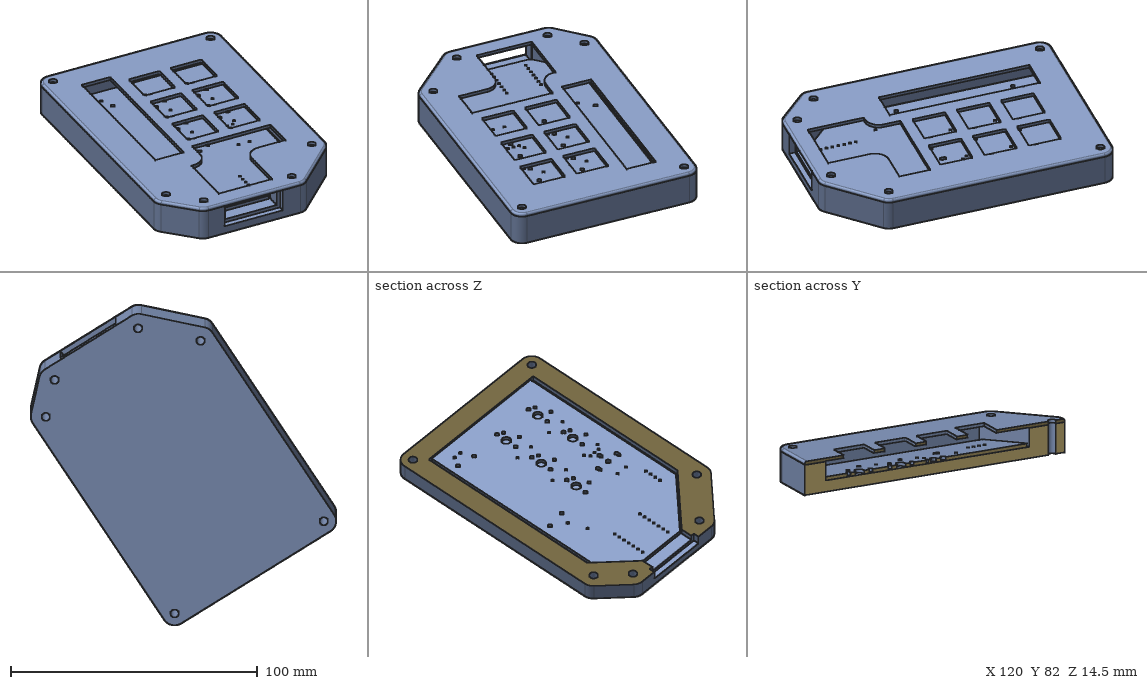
import cadquery as cq
length = 120.0
width = 82.0
height = 14.5
half_length = length / 2
half_width = width / 2

rear_bevel = 21.6
front_bevel = 14.4
corner_radius = 5.0

lid_thickness = 1.5
lid_edge_radius = 1.0
lid_bottom = height - lid_thickness

board_left = -50.2
board_right = 51.8
board_half_width = 29.9
board_rear_bevel = 22.5
board_front_bevel = 14.9
board_thickness = 1.5
board_top = 6.6
board_bottom = board_top - board_thickness

pocket_gap = 1.5
pocket_half_width = board_half_width + pocket_gap
pocket_rear_bevel = 23.2
pocket_front_bevel = 15.6
pocket_depth = lid_bottom - board_bottom

opening_margin = 0.4
opening_rear = pocket_half_width - pocket_rear_bevel - opening_margin
opening_front = -pocket_half_width + pocket_front_bevel + opening_margin
plug_recess_depth = 2.5
plug_recess_border = 1.5

screw_diameter = 3.4
left_screw_x = -(half_length - corner_radius)
left_screw_y = half_width - corner_radius
screw_points = [
    (left_screw_x, left_screw_y),
    (left_screw_x, -left_screw_y),
    (36.0, 35.0),
    (54.1, 16.5),
    (54.1, -23.6),
    (43.0, -35.0),
]

key_pitch = 19.1
key_columns = 3
key_rows = 2
key_window_size = 14.0
key_window_radius = 0.5
first_window_x = -35.0
first_window_y = 18.0
first_key_x = -34.5
first_key_y = 17.0
key_centre_diameter = 4.0
key_post_diameter = 1.7
key_pin_diameter = 1.5

diode_columns = 2
diode_offset_x = 9.8
diode_half_span = 4.1
diode_hole_diameter = 1.0

controller_pin_count = 7
controller_row_length = 15.2
pin_pitch = controller_row_length / (controller_pin_count - 1)
controller_pin_diameter = 0.89
controller_first_x = 33.2
controller_row_ys = [3.7, -11.5]
display_pin_count = 4
display_pin_diameter = 1.0
display_first_x = 19.0
display_row_y = 23.2

encoder_x = 4.0
encoder_y = 16.9
encoder_lug_offset = 5.6
encoder_lug_length = 2.8
encoder_lug_width = 1.5
encoder_centre_diameter = 2.2
encoder_slot_offset = 4.5
encoder_slot_length = 2.5
encoder_slot_width = 1.7
encoder_terminal_offset = 7.5
encoder_terminal_pitch = 2.5
encoder_terminal_diameter = 1.0
encoder_switch_offset = 7.5

slider_window_length = 64.9
slider_window_width = 13.0
slider_window_x = -14.6
slider_window_y = -20.4
slider_lug_diameter = 1.7
slider_lug_points = [(-38.4, -17.3), (9.5, -17.3), (-39.6, -25.7), (10.7, -25.7)]
slider_pin_diameter = 1.2
slider_pin_points = [(-43.7, -19.7), (-43.7, -23.2), (15.0, -19.7)]
resistor_hole_diameter = 1.0
resistor_hole_point = (23.0, -16.5)

controller_window_left = 15.1
controller_window_right = 52.5
controller_window_rear = 27.0
controller_window_front = -15.8
rear_step_x = 28.5
rear_step_y = 8.5
front_step_x = 28.3
front_step_y = -8.8
window_step_radius = 6.0


def beveled_plate(left, right, half_depth, rear_cut, front_cut, bottom, thickness):
    """A plate with 45 degree cuts on its two +X corners."""
    outline = [
        (left, -half_depth),
        (right - front_cut, -half_depth),
        (right, -half_depth + front_cut),
        (right, half_depth - rear_cut),
        (right - rear_cut, half_depth),
        (left, half_depth),
    ]
    return cq.Workplane("XY").workplane(offset=bottom).polyline(outline).close().extrude(thickness)


def outer_plate(bottom, thickness):
    """A plate with the rounded outer outline that the case and the lid share."""
    plate = beveled_plate(-half_length, half_length, half_width, rear_bevel, front_bevel, bottom, thickness)
    return plate.edges("|Z").fillet(corner_radius)


def board_plate():
    return beveled_plate(
        board_left,
        board_right,
        board_half_width,
        board_rear_bevel,
        board_front_bevel,
        board_bottom,
        board_thickness,
    )


def round_cutters(points, diameter):
    """Full-height cylinders at the given points."""
    return cq.Workplane("XY").pushPoints(points).circle(diameter / 2).extrude(height)


def slot_cutters(points, slot_length, slot_width):
    """Full-height slots along X at the given points."""
    return cq.Workplane("XY").pushPoints(points).slot2D(slot_length, slot_width).extrude(height)


def key_grid(first_x, first_y, columns):
    """Grid points from the rear left place, row by row towards -Y."""
    return [
        (first_x + column * key_pitch, first_y - row * key_pitch)
        for row in range(key_rows)
        for column in range(columns)
    ]


def pin_row(first_x, y, count):
    return [(first_x + pin * pin_pitch, y) for pin in range(count)]


def wall_cutter(inner_x, border):
    """A box from inner_x out to the +X face, widened by border at both sides and below."""
    depth = half_length - inner_x
    opening_width = opening_rear - opening_front + 2 * border
    cutter = cq.Workplane("XY").box(depth, opening_width, pocket_depth + border, centered=False)
    return cutter.translate((inner_x, opening_front - border, board_bottom - border))


def make_case():
    case = outer_plate(0, lid_bottom)
    pocket = beveled_plate(
        board_left,
        board_right,
        pocket_half_width,
        pocket_rear_bevel,
        pocket_front_bevel,
        board_bottom,
        pocket_depth,
    )
    opening = wall_cutter(board_right, 0)
    plug_recess = wall_cutter(half_length - plug_recess_depth, plug_recess_border)
    case = case.cut(pocket).cut(opening).cut(plug_recess)
    return case.cut(round_cutters(screw_points, screw_diameter))


def key_windows():
    windows = (
        cq.Workplane("XY")
        .pushPoints(key_grid(first_window_x, first_window_y, key_columns))
        .rect(key_window_size, key_window_size)
        .extrude(height)
    )
    return windows.edges("|Z").fillet(key_window_radius)


def slider_window():
    return (
        cq.Workplane("XY")
        .center(slider_window_x, slider_window_y)
        .rect(slider_window_length, slider_window_width)
        .extrude(height)
    )


def controller_window():
    radius = window_step_radius
    return (
        cq.Workplane("XY")
        .moveTo(controller_window_left, controller_window_rear)
        .lineTo(rear_step_x, controller_window_rear)
        .lineTo(rear_step_x, rear_step_y + radius)
        .radiusArc((rear_step_x + radius, rear_step_y), -radius)
        .lineTo(controller_window_right, rear_step_y)
        .lineTo(controller_window_right, controller_window_front)
        .lineTo(front_step_x, controller_window_front)
        .lineTo(front_step_x, front_step_y - radius)
        .radiusArc((front_step_x - radius, front_step_y), -radius)
        .lineTo(controller_window_left, front_step_y)
        .close()
        .extrude(height)
    )


def make_lid():
    lid = outer_plate(lid_bottom, lid_thickness).faces(">Z").edges().fillet(lid_edge_radius)
    lid = lid.cut(key_windows()).cut(slider_window()).cut(controller_window())
    return lid.cut(round_cutters(screw_points, screw_diameter))


def drill_keys(board):
    encoder_place = key_columns - 1
    keys = key_grid(first_key_x, first_key_y, key_columns)
    keys.pop(encoder_place)
    post_offset = 2 * pin_pitch
    posts = [(x + side * post_offset, y) for x, y in keys for side in (-1, 1)]
    left_pins = [(x - 1.5 * pin_pitch, y + pin_pitch) for x, y in keys]
    right_pins = [(x + pin_pitch, y + 2 * pin_pitch) for x, y in keys]
    board = board.cut(round_cutters(keys, key_centre_diameter))
    board = board.cut(round_cutters(posts, key_post_diameter))
    return board.cut(round_cutters(left_pins + right_pins, key_pin_diameter))


def drill_diodes(board):
    keys = key_grid(first_key_x, first_key_y, diode_columns)
    holes = [(x + diode_offset_x, y + side * diode_half_span) for x, y in keys for side in (-1, 1)]
    return board.cut(round_cutters(holes, diode_hole_diameter))


def drill_encoder(board):
    lugs = [(encoder_x, encoder_y + side * encoder_lug_offset) for side in (-1, 1)]
    terminals = [
        (encoder_x - encoder_terminal_offset, encoder_y + step * encoder_terminal_pitch)
        for step in (-1, 0, 1)
    ]
    switch_pins = [
        (encoder_x + encoder_switch_offset, encoder_y + side * encoder_terminal_pitch) for side in (-1, 1)
    ]
    side_slot = [(encoder_x - encoder_slot_offset, first_key_y)]
    board = board.cut(slot_cutters(lugs, encoder_lug_length, encoder_lug_width))
    board = board.cut(slot_cutters(side_slot, encoder_slot_length, encoder_slot_width))
    board = board.cut(round_cutters([(encoder_x, encoder_y)], encoder_centre_diameter))
    return board.cut(round_cutters(terminals + switch_pins, encoder_terminal_diameter))


def drill_slider(board):
    board = board.cut(round_cutters(slider_lug_points, slider_lug_diameter))
    board = board.cut(round_cutters(slider_pin_points, slider_pin_diameter))
    return board.cut(round_cutters([resistor_hole_point], resistor_hole_diameter))


def drill_headers(board):
    for row_y in controller_row_ys:
        row = pin_row(controller_first_x, row_y, controller_pin_count)
        board = board.cut(round_cutters(row, controller_pin_diameter))
    display_row = pin_row(display_first_x, display_row_y, display_pin_count)
    return board.cut(round_cutters(display_row, display_pin_diameter))


def make_board():
    board = drill_diodes(drill_keys(board_plate()))
    return drill_headers(drill_slider(drill_encoder(board)))


case = make_case()
board = make_board()
lid = make_lid()

result = cq.Compound.makeCompound([case.val(), board.val(), lid.val()])